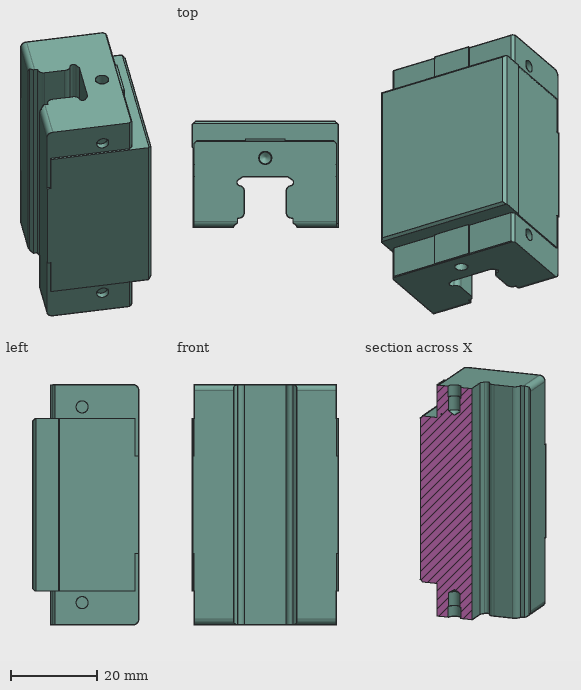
import cadquery as cq
import math


TOTAL_WIDTH = 34.0
TOTAL_HEIGHT = 24.7
TOTAL_LENGTH = 55.9

BLOCK_LENGTH = 40.2
BLOCK_SIDE_CHAMFER = 0.8
BLOCK_END_CHAMFER = 0.6
RELIEF_DEPTH = 0.2
RELIEF_TOP = 18.7
RELIEF_SLOPE = 0.3

CAP_WIDTH = 33.1
CAP_HEIGHT = 20.2
CAP_CORNER_CHAMFER = 0.7
CAP_BACK_CHAMFER = 0.2
CAP_FRONT_FILLET = 1.4
RIB_WIDTH = 9.2
RIB_HEIGHT = 0.35
RIB_SETBACK = 0.05
STRIP_HEIGHT = 0.85
STRIP_END_Z = 11.3

SIDE_HOLE_DIAMETER = 2.8
SIDE_HOLE_DEPTH = 1.5
SIDE_HOLE_Y = 13.2
SIDE_HOLE_FROM_END = 5.2
CLEARANCE_HOLE_DIAMETER = 3.05
CLEARANCE_HOLE_DEPTH = 2.65
PILOT_HOLE_DIAMETER = 2.75
PILOT_HOLE_DEPTH = 6.0
DRILL_POINT_ANGLE = 118.0
END_HOLE_Y = 16.15

MOUTH_HALF_WIDTH = 7.4
MOUTH_DRAFT = 0.15
MOUTH_DRAFT_TOP = 0.4
LIP_HALF_WIDTH = 6.4
LIP_BOTTOM = 1.1
LIP_TOP = 2.1
THROAT_HALF_WIDTH = 4.85
THROAT_ENTRY_RADIUS = 1.4
THROAT_EXIT_RADIUS = 1.35
THROAT_TOP = 8.2
GROOVE_BOTTOM = 9.7
GROOVE_BOTTOM_X = 5.85
GROOVE_DEPTH_X = 6.55
GROOVE_DEPTH_Y = 10.5
GROOVE_TOP = 11.1
GROOVE_TOP_X = 6.2
CHANNEL_TOP = 11.75
ROOF_HALF_WIDTH = 5.2

HALF_LENGTH = TOTAL_LENGTH / 2


def box(x_min, x_max, y_min, y_max, z_min, z_max):
    size = (x_max - x_min, y_max - y_min, z_max - z_min)
    return cq.Workplane("XY").box(*size, centered=False).translate((x_min, y_min, z_min))


def make_block():
    half = TOTAL_WIDTH / 2
    shoulder = TOTAL_HEIGHT - BLOCK_SIDE_CHAMFER
    block = (
        cq.Workplane("XY", origin=(0, 0, -BLOCK_LENGTH / 2))
        .moveTo(-half + RELIEF_DEPTH, 0)
        .lineTo(half, 0)
        .lineTo(half, shoulder)
        .lineTo(half - BLOCK_SIDE_CHAMFER, TOTAL_HEIGHT)
        .lineTo(-half + BLOCK_SIDE_CHAMFER, TOTAL_HEIGHT)
        .lineTo(-half, shoulder)
        .lineTo(-half, RELIEF_TOP)
        .lineTo(-half + RELIEF_DEPTH, RELIEF_TOP - RELIEF_SLOPE)
        .close()
        .extrude(BLOCK_LENGTH)
    )
    block = block.faces(">Y").edges("|X").chamfer(BLOCK_END_CHAMFER)
    for z_min, z_max in ((STRIP_END_Z, HALF_LENGTH), (-HALF_LENGTH, -STRIP_END_Z)):
        block = block.cut(box(-half, half, 0, STRIP_HEIGHT, z_min, z_max))
    return block


def make_cap():
    """Cap on the +Z end, with its strip along the open face of the block."""
    half = CAP_WIDTH / 2
    block_end = BLOCK_LENGTH / 2
    cap = box(-half, half, 0, CAP_HEIGHT, block_end, HALF_LENGTH)
    cap = cap.edges("|Z and >Y").chamfer(CAP_CORNER_CHAMFER)
    cap = cap.edges(">Z and >Y").chamfer(CAP_BACK_CHAMFER)
    cap = cap.edges(">Z and <Y").fillet(CAP_FRONT_FILLET)
    rib = box(
        -RIB_WIDTH / 2,
        RIB_WIDTH / 2,
        CAP_HEIGHT - CAP_BACK_CHAMFER,
        CAP_HEIGHT + RIB_HEIGHT,
        block_end,
        HALF_LENGTH - RIB_SETBACK,
    )
    strip = box(-half, half, 0, STRIP_HEIGHT, STRIP_END_Z, block_end)
    cap = cap.union(rib).union(strip)

    side_hole = (
        cq.Workplane("YZ", origin=(-half, SIDE_HOLE_Y, HALF_LENGTH - SIDE_HOLE_FROM_END))
        .circle(SIDE_HOLE_DIAMETER / 2)
        .extrude(SIDE_HOLE_DEPTH)
    )
    clearance_radius = CLEARANCE_HOLE_DIAMETER / 2
    pilot_radius = PILOT_HOLE_DIAMETER / 2
    point_depth = pilot_radius / math.tan(math.radians(DRILL_POINT_ANGLE / 2))
    step_z = HALF_LENGTH - CLEARANCE_HOLE_DEPTH
    pilot_bottom = HALF_LENGTH - PILOT_HOLE_DEPTH
    end_hole = (
        cq.Workplane("XZ", origin=(0, END_HOLE_Y, 0))
        .moveTo(0, HALF_LENGTH)
        .lineTo(clearance_radius, HALF_LENGTH)
        .lineTo(clearance_radius, step_z)
        .lineTo(pilot_radius, step_z)
        .lineTo(pilot_radius, pilot_bottom)
        .lineTo(0, pilot_bottom - point_depth)
        .close()
        .revolve(360, (0, 0, 0), (0, 1, 0))
    )
    return cap.cut(side_hole).cut(side_hole.mirror("YZ")).cut(end_hole)


def make_channel():
    """Rail channel: half outline on +X, mirrored about X = 0."""
    diagonal = math.sqrt(0.5)
    entry_x = THROAT_HALF_WIDTH + THROAT_ENTRY_RADIUS
    entry_y = LIP_TOP + THROAT_ENTRY_RADIUS
    entry_mid = (entry_x - diagonal * THROAT_ENTRY_RADIUS, entry_y - diagonal * THROAT_ENTRY_RADIUS)
    half = (
        cq.Workplane("XY", origin=(0, 0, -HALF_LENGTH))
        .lineTo(MOUTH_HALF_WIDTH, 0)
        .lineTo(MOUTH_HALF_WIDTH - MOUTH_DRAFT, MOUTH_DRAFT_TOP)
        .lineTo(LIP_HALF_WIDTH, LIP_BOTTOM)
        .lineTo(LIP_HALF_WIDTH, LIP_TOP)
        .lineTo(entry_x, LIP_TOP)
        .threePointArc(entry_mid, (THROAT_HALF_WIDTH, entry_y))
        .lineTo(THROAT_HALF_WIDTH, THROAT_TOP)
        .radiusArc((GROOVE_BOTTOM_X, GROOVE_BOTTOM), THROAT_EXIT_RADIUS)
        .threePointArc((GROOVE_DEPTH_X, GROOVE_DEPTH_Y), (GROOVE_TOP_X, GROOVE_TOP))
        .lineTo(ROOF_HALF_WIDTH, CHANNEL_TOP)
        .lineTo(0, CHANNEL_TOP)
        .close()
        .extrude(TOTAL_LENGTH)
    )
    return half.union(half.mirror("YZ"))


cap = make_cap()
result = make_block().union(cap).union(cap.mirror("XY")).cut(make_channel())